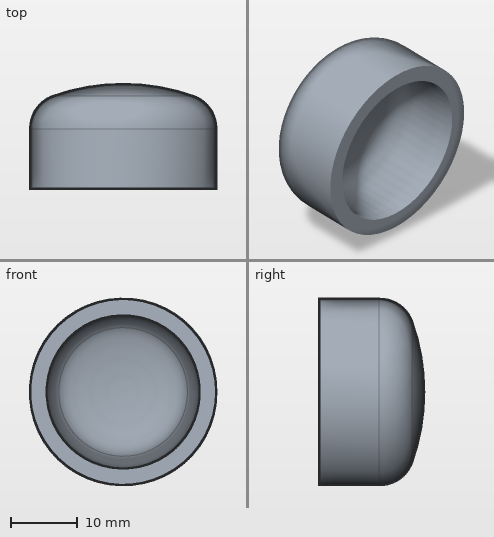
import cadquery as cq
import math

outer_diameter = 28.0
inner_diameter = 23.0
total_height = 15.75
straight_height = 9.0
knuckle_radius = 5.25

outer_radius = outer_diameter / 2
wall = (outer_diameter - inner_diameter) / 2
dome_height = total_height - straight_height
knuckle_center_x = outer_radius - knuckle_radius

crown_radius = (
    (knuckle_center_x**2 + dome_height**2 - knuckle_radius**2)
    / (2 * (dome_height - knuckle_radius))
)
crown_center_y = total_height - crown_radius

seam_angle = math.asin(knuckle_center_x / (crown_radius - knuckle_radius))


def point_on_arc(center, radius, angle):
    """Point on an arc, with the angle measured from the +Y axis toward +X."""
    return (
        center[0] + radius * math.sin(angle),
        center[1] + radius * math.cos(angle),
    )


def domed_solid(inset):
    """Solid cylinder with a domed end, its surface set in from the outside of the cap."""
    side_radius = outer_radius - inset
    crown = crown_radius - inset
    knuckle = knuckle_radius - inset
    crown_center = (0, crown_center_y)
    knuckle_center = (knuckle_center_x, straight_height)
    knuckle_middle_angle = (seam_angle + math.pi / 2) / 2

    profile = (
        cq.Workplane("XY")
        .lineTo(side_radius, 0)
        .lineTo(side_radius, straight_height)
        .threePointArc(
            point_on_arc(knuckle_center, knuckle, knuckle_middle_angle),
            point_on_arc(crown_center, crown, seam_angle),
        )
        .threePointArc(
            point_on_arc(crown_center, crown, seam_angle / 2),
            (0, total_height - inset),
        )
        .close()
    )
    return profile.revolve(360, (0, 0, 0), (0, 1, 0))


result = domed_solid(0).cut(domed_solid(wall))